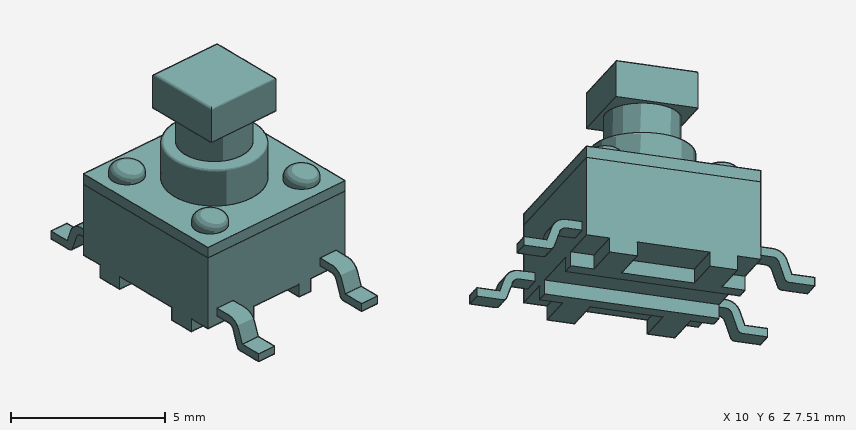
import cadquery as cq
import math

body_side = 6
base_top = 3.21
cover_top = 3.61

recess_height = 0.49
corner_recess_length = 0.8
side_recess_length = 2.5
edge_recess_depth = 1.5
channel_width = 1.98

lead_span = 10
lead_width = 0.7
lead_offset_y = 2.25
lead_thickness = 0.3
lead_top = 1.11
lead_slope_angle = math.radians(70)
shoulder_x = 3.55
shoulder_radius = 0.53
heel_radius = 0.15

rivet_spacing = 4
rivet_radius = 0.6
rivet_height = 0.4
rivet_fillet = 0.3

collar_radius = 1.74
collar_top = 5.01
collar_fillet = 0.1
plunger_radius = 1.26
cap_bottom = 6.21
cap_top = 7.51
cap_side = 2.83
cap_fillet = 0.1


def upright_box(length, width, bottom, top):
    """Box centred on the Z axis between two heights."""
    return cq.Workplane("XY", origin=(0, 0, bottom)).rect(length, width).extrude(top - bottom)


def upright_cylinder(radius, bottom, top):
    """Cylinder on the Z axis between two heights."""
    return cq.Workplane("XY", origin=(0, 0, bottom)).circle(radius).extrude(top - bottom)


def make_underside_recesses():
    """Open channel along X, plus the corner and mid-side recesses of the -Y and +Y edges."""
    recesses = upright_box(body_side, channel_width, 0, recess_height)
    recess_y = (body_side - edge_recess_depth) / 2
    corner_x = (body_side - corner_recess_length) / 2
    for side in (-1, 1):
        for x, length in (
            (-corner_x, corner_recess_length),
            (0, side_recess_length),
            (corner_x, corner_recess_length),
        ):
            recess = upright_box(length, edge_recess_depth, 0, recess_height)
            recesses = recesses.union(recess.translate((x, side * recess_y, 0)))
    return recesses


def make_lead():
    """One lead on the +X side, centred on Y = 0, running from the base wall down to its foot."""
    inner_radius = shoulder_radius - lead_thickness
    centre_z = lead_top - shoulder_radius

    def shoulder_point(radius, turn):
        """Point on a shoulder arc after turning down by an angle from the flat."""
        return (shoulder_x + radius * math.sin(turn), centre_z + radius * math.cos(turn))

    def slope_x(radius, height):
        """X where the slope tangent to a shoulder arc reaches a height."""
        start_x, start_z = shoulder_point(radius, lead_slope_angle)
        return start_x + (start_z - height) / math.tan(lead_slope_angle)

    half_angle = lead_slope_angle / 2

    heel_tangent = heel_radius * math.tan(half_angle)
    heel_x = slope_x(inner_radius, 0) + heel_tangent
    heel_start = (
        heel_x - heel_radius * math.sin(lead_slope_angle),
        heel_radius * (1 - math.cos(lead_slope_angle)),
    )
    heel_middle = (
        heel_x - heel_radius * math.sin(half_angle),
        heel_radius * (1 - math.cos(half_angle)),
    )
    return (
        cq.Workplane("XZ")
        .moveTo(body_side / 2, lead_top)
        .lineTo(shoulder_x, lead_top)
        .threePointArc(
            shoulder_point(shoulder_radius, half_angle),
            shoulder_point(shoulder_radius, lead_slope_angle),
        )
        .lineTo(slope_x(shoulder_radius, lead_thickness), lead_thickness)
        .lineTo(lead_span / 2, lead_thickness)
        .lineTo(lead_span / 2, 0)
        .lineTo(heel_x, 0)
        .threePointArc(heel_middle, heel_start)
        .lineTo(*shoulder_point(inner_radius, lead_slope_angle))
        .threePointArc(
            shoulder_point(inner_radius, half_angle),
            shoulder_point(inner_radius, 0),
        )
        .lineTo(body_side / 2, lead_top - lead_thickness)
        .close()
        .extrude(lead_width / 2, both=True)
    )


def make_base():
    """Base block with its underside recesses and four leads."""
    base = upright_box(body_side, body_side, 0, base_top).cut(make_underside_recesses())
    right_lead = make_lead()
    for lead in (right_lead, right_lead.mirror("YZ")):
        for y in (-lead_offset_y, lead_offset_y):
            base = base.union(lead.translate((0, y, 0)))
    return base


def make_rivet_head():
    """Domed rivet head on the Z axis, standing on the cover."""
    head = upright_cylinder(rivet_radius, cover_top, cover_top + rivet_height)
    return head.faces(">Z").edges().fillet(rivet_fillet)


def make_cover():
    """Cover plate with rivet heads, collar, plunger and key cap."""
    plate = upright_box(body_side, body_side, base_top, cover_top)
    collar = upright_cylinder(collar_radius, cover_top, collar_top)
    collar = collar.faces(">Z").edges().fillet(collar_fillet)
    plunger = upright_cylinder(plunger_radius, collar_top, cap_bottom)
    cap = upright_box(cap_side, cap_side, cap_bottom, cap_top)
    cap = cap.faces(">Z").edges().fillet(cap_fillet)
    cover = plate.union(collar).union(plunger).union(cap)
    rivet_head = make_rivet_head()
    for x in (-rivet_spacing / 2, rivet_spacing / 2):
        for y in (-rivet_spacing / 2, rivet_spacing / 2):
            cover = cover.union(rivet_head.translate((x, y, 0)))
    return cover


base = make_base()
cover = make_cover()

result = cq.Compound.makeCompound([base.solids().val(), cover.solids().val()])